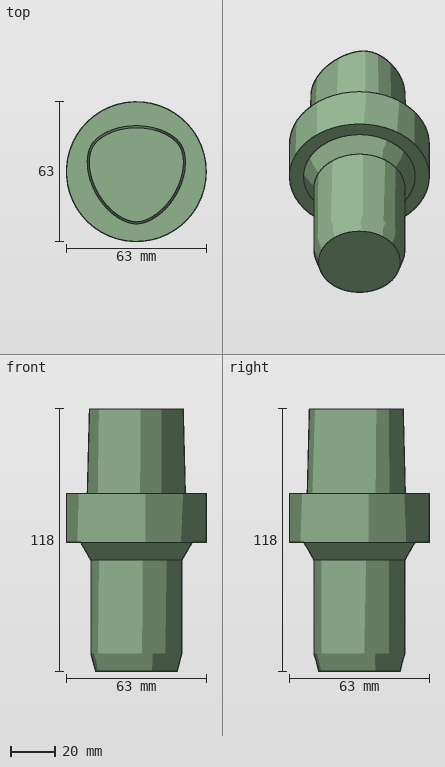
import math

import cadquery as cq

tip_length = 8.0
shank_length = 42.0
collar_cone_length = 8.0
flange_length = 22.0
taper_length = 38.0

shank_radius = 41.0 / 2
flange_radius = 62.98 / 2
tip_angle = 15.0
collar_cone_angle = 30.0

head_base_width = 44.2
head_taper_ratio = 1 / 20
lobe_eccentricity = 1.4
outline_points = 180

tip_radius = shank_radius - tip_length * math.tan(math.radians(tip_angle))
collar_radius = shank_radius + collar_cone_length * math.tan(math.radians(collar_cone_angle))
shank_base = tip_length
collar_base = shank_base + shank_length
flange_base = collar_base + collar_cone_length
head_base = flange_base + flange_length
head_top_width = head_base_width - taper_length * head_taper_ratio


def turned_body():
    """Revolved shank with its tapered tip, conical collar and flange."""
    half_profile = [
        (0, 0),
        (tip_radius, 0),
        (shank_radius, shank_base),
        (shank_radius, collar_base),
        (collar_radius, flange_base),
        (flange_radius, flange_base),
        (flange_radius, head_base),
        (0, head_base),
    ]
    return cq.Workplane("XZ").polyline(half_profile).close().revolve(360, (0, 0, 0), (0, 1, 0))


def lobed_point(turn, width):
    """Point on a constant-width three-lobed outline; turn runs 0 to 1 from the lobe at -Y."""
    angle = 2 * math.pi * turn
    reach = width / 2 + lobe_eccentricity * math.cos(3 * angle)
    reach_slope = -3 * lobe_eccentricity * math.sin(3 * angle)
    x = reach * math.sin(angle) + reach_slope * math.cos(angle)
    y = -reach * math.cos(angle) + reach_slope * math.sin(angle)
    return (x, y)


def lobed_head():
    """Tapered head lofted between two three-lobed outlines."""
    return (
        cq.Workplane("XY", origin=(0, 0, head_base))
        .parametricCurve(lambda turn: lobed_point(turn, head_base_width), N=outline_points)
        .workplane(offset=taper_length)
        .parametricCurve(lambda turn: lobed_point(turn, head_top_width), N=outline_points)
        .loft(ruled=True)
    )


result = turned_body().union(lobed_head())